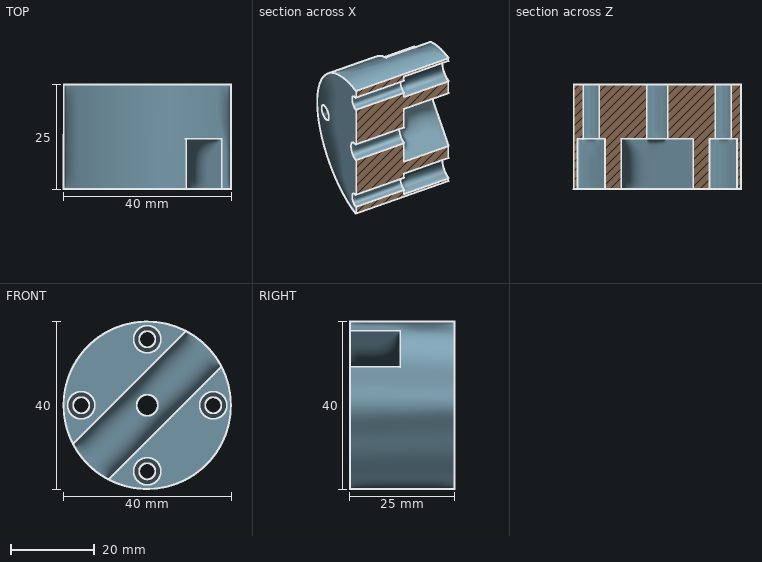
import cadquery as cq

body_diameter = 40.0
body_length = 25.0
front_y = -body_length / 2

slot_width = 12.0
slot_depth = 12.0
slot_angle = 45.0

center_hole_diameter = 5.0
screw_hole_diameter = 3.8
counterbore_diameter = 6.5
counterbore_depth = slot_depth
screw_circle_diameter = 31.5
screw_count = 4


def front_cylinder(diameter, length):
    """Cylinder on the body axis, running from the front face toward +Y."""
    front_plane = cq.Plane(origin=(0, front_y, 0), xDir=(1, 0, 0), normal=(0, 1, 0))
    return cq.Workplane(front_plane).circle(diameter / 2).extrude(length)


def diagonal_slot():
    """Straight slot through the body axis, rising from -X -Z to +X +Z."""
    slot = cq.Workplane("XY").box(body_diameter, slot_depth, slot_width)
    slot = slot.translate((0, front_y + slot_depth / 2, 0))
    return slot.rotate((0, 0, 0), (0, -1, 0), slot_angle)


def screw_hole(angle):
    """Through hole counterbored from the front, at an angle around the body axis."""
    hole = front_cylinder(screw_hole_diameter, body_length)
    hole = hole.union(front_cylinder(counterbore_diameter, counterbore_depth))
    hole = hole.translate((screw_circle_diameter / 2, 0, 0))
    return hole.rotate((0, 0, 0), (0, -1, 0), angle)


result = front_cylinder(body_diameter, body_length)
result = result.cut(diagonal_slot())
result = result.cut(front_cylinder(center_hole_diameter, body_length))
for index in range(screw_count):
    result = result.cut(screw_hole(index * 360.0 / screw_count))